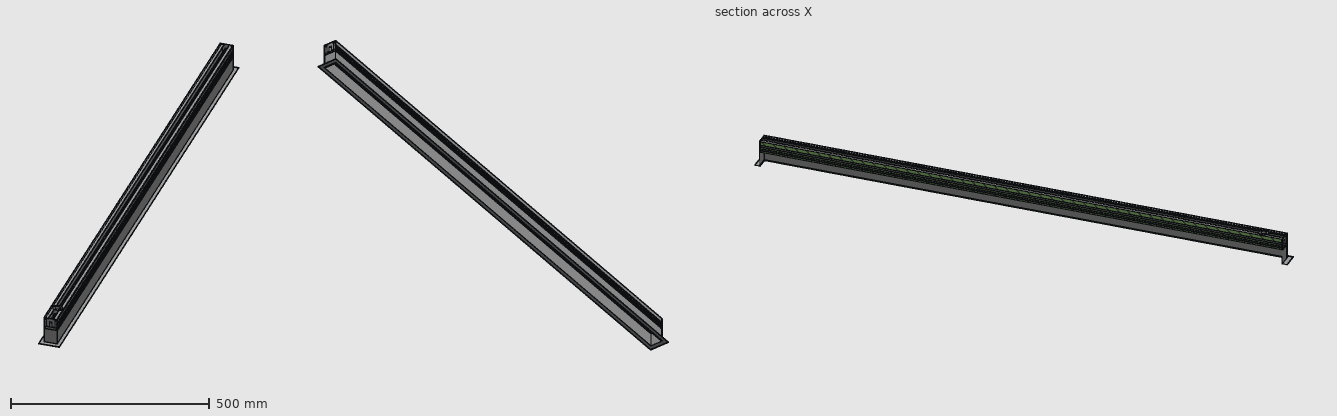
import cadquery as cq

LENGTH = 1437.0
FLANGE_WIDTH = 55.0
HEIGHT = 72.0

FLANGE_THICKNESS = 1.7
BODY_WIDTH = 36.0
BODY_LENGTH = 1413.0
BASE_HEIGHT = 40.0
BASE_WALL = 1.7

END_PLATE_THICKNESS = 1.7
COVER_THICKNESS = 1.0
RAIL_LENGTH = BODY_LENGTH - 2 * END_PLATE_THICKNESS
RAIL_WIDTH = BODY_WIDTH - 2 * COVER_THICKNESS

WEB_BOTTOM = 46.0
WEB_TOP = 47.0
LEG_GAP_WIDTH = 29.0
CAVITY_WIDTH = 22.0
LIP_THICKNESS = 2.2
LIP_RECESS_HEIGHT = 3.6
LIP_BOTTOM = HEIGHT - LIP_THICKNESS
CAVITY_TOP = LIP_BOTTOM - LIP_RECESS_HEIGHT
LIP_RECESS_WIDTH = 29.0
SLOT_WIDTH = 13.0
SIDE_GROOVE_DEPTH = 1.0
SIDE_GROOVE_HEIGHT = 5.0
SIDE_GROOVE_BOTTOMS = (WEB_BOTTOM, 56.0)

RIB_WIDTH = 7.0
RIB_TOP = 62.0
PORT_DIAMETER = 4.5
PORT_AXIS_Z = 60.0

GLAND_Y = -650.0
GLAND_DIAMETER = 25.0
GLAND_BORE_DIAMETER = 13.5
GLAND_BORE_BOTTOM = 57.0


def block(width, length, bottom, top, x=0.0, y=0.0):
    """Upright block centred on (x, y), from height bottom to height top."""
    return (
        cq.Workplane("XY", origin=(x, y, bottom))
        .box(width, length, top - bottom, centered=(True, True, False))
    )


def upright_cylinder(diameter, bottom, top):
    """Vertical cylinder on the gland axis."""
    return (
        cq.Workplane("XY", origin=(0, GLAND_Y, bottom))
        .circle(diameter / 2)
        .extrude(top - bottom)
    )


def make_base():
    """Flange and walls around one opening that runs from the bottom to the rail."""
    flange = block(FLANGE_WIDTH, LENGTH, 0, FLANGE_THICKNESS)
    walls = block(BODY_WIDTH, BODY_LENGTH, 0, BASE_HEIGHT)
    opening = block(BODY_WIDTH - 2 * BASE_WALL, BODY_LENGTH - 2 * BASE_WALL, 0, BASE_HEIGHT)
    return flange.union(walls).cut(opening)


def make_screw_port():
    """Central rib with a round channel along its top."""
    rib = block(RIB_WIDTH, RAIL_LENGTH, WEB_TOP, RIB_TOP)
    channel = (
        cq.Workplane("XZ")
        .center(0, PORT_AXIS_Z)
        .circle(PORT_DIAMETER / 2)
        .extrude(RAIL_LENGTH / 2, both=True)
    )
    return rib.cut(channel)


def make_rail():
    """Slotted extrusion with a cavity, side grooves, screw port and gland hole."""
    rail = block(RAIL_WIDTH, RAIL_LENGTH, BASE_HEIGHT, HEIGHT)
    rail = rail.cut(block(LEG_GAP_WIDTH, RAIL_LENGTH, BASE_HEIGHT, WEB_BOTTOM))
    rail = rail.cut(block(CAVITY_WIDTH, RAIL_LENGTH, WEB_TOP, CAVITY_TOP))
    rail = rail.cut(block(LIP_RECESS_WIDTH, RAIL_LENGTH, CAVITY_TOP, LIP_BOTTOM))
    rail = rail.cut(block(SLOT_WIDTH, RAIL_LENGTH, LIP_BOTTOM, HEIGHT))
    groove_x = (RAIL_WIDTH - SIDE_GROOVE_DEPTH) / 2
    for side in (-1, 1):
        for bottom in SIDE_GROOVE_BOTTOMS:
            top = bottom + SIDE_GROOVE_HEIGHT
            rail = rail.cut(block(SIDE_GROOVE_DEPTH, RAIL_LENGTH, bottom, top, x=side * groove_x))
    rail = rail.union(make_screw_port())
    return rail.cut(upright_cylinder(GLAND_DIAMETER, WEB_TOP, HEIGHT))


def make_gland():
    """Round gland standing on the web of the rail, with a bore from the top."""
    body = upright_cylinder(GLAND_DIAMETER, WEB_TOP, HEIGHT)
    return body.cut(upright_cylinder(GLAND_BORE_DIAMETER, GLAND_BORE_BOTTOM, HEIGHT))


def make_side_cover(side):
    """Thin strip along one long side of the rail."""
    x = side * (BODY_WIDTH - COVER_THICKNESS) / 2
    return block(COVER_THICKNESS, RAIL_LENGTH, BASE_HEIGHT, HEIGHT, x=x)


def make_end_plate(side):
    """Plate across one end of the rail and its side covers."""
    y = side * (BODY_LENGTH - END_PLATE_THICKNESS) / 2
    return block(BODY_WIDTH, END_PLATE_THICKNESS, BASE_HEIGHT, HEIGHT, y=y)


base = make_base()
rail = make_rail()
gland = make_gland()
side_covers = [make_side_cover(side) for side in (-1, 1)]
end_plates = [make_end_plate(side) for side in (-1, 1)]

result = cq.Compound.makeCompound(
    [base.val(), rail.val(), gland.val()]
    + [cover.val() for cover in side_covers]
    + [plate.val() for plate in end_plates]
)